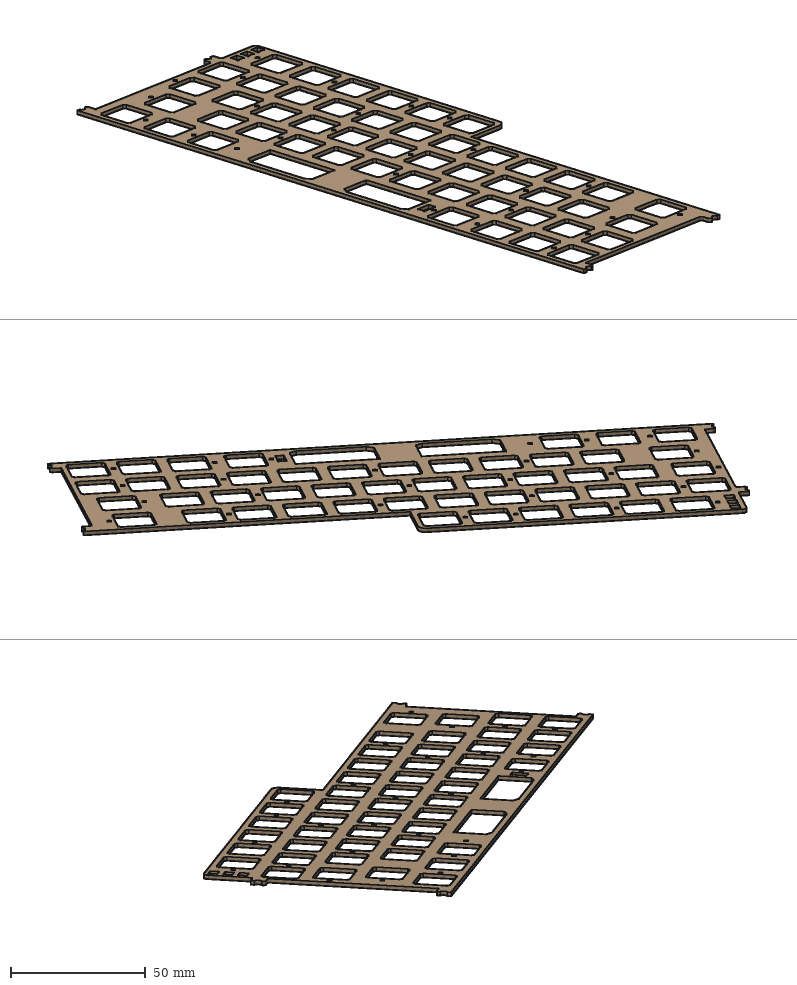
import cadquery as cq
overall_width = 251.21
thickness = 1.5875
unit = 19.05
rows = 5
body_units = 12.75
top_row_units = 6.5
body_width = body_units * unit
body_height = rows * unit
left = -body_width / 2
right = body_width / 2
top = body_height / 2
bottom = -body_height / 2
shoulder_y = top - unit
shoulder_x = left + top_row_units * unit
top_left_radius = 2.0
top_right_radius = 3.0
inner_corner_radius = 1.0

tab_length = (overall_width - body_width) / 2
tab_height = 5.6
tab_corner_radius = 1.0
tab_notch_radius = 1.4
tab_notch_depth = 1.1

switch_width = 14.6
switch_height = 14.0
switch_corner_chamfer = 1.0
switch_columns = [
    [1.0 + i for i in range(6)],
    [0.5 + i for i in range(11)] + [11.875],
    [0.625] + [1.75 + i for i in range(10)] + [12.0],
    [0.875] + [2.25 + i for i in range(11)],
    [0.625, 1.75, 2.875, 9.125, 10.25, 11.25, 12.25],
]

space_columns = [4.875, 7.375]
space_width = 31.9
space_chamfer_width = 2.7
space_chamfer_height = 1.6

hole_diameter = 1.6
hole_columns = [
    [0.5, 2.5, 4.5, 5.5],
    [1.0, 4.0, 7.0, 10.0, 12.375],
    [0.125, 2.25, 4.25, 6.25, 9.25, 11.5],
    [0.375, 3.75, 6.75, 9.75, 11.75],
    [1.125, 2.375, 3.5, 8.625, 9.75, 11.75],
]

window_width = 3.5
window_height = 3.4
window_pitch = 5.65
window_x = left + 4.0
window_lift = 0.6

slot_width = 3.2
slot_height = 6.1
slot_x = 39.2


def column_x(column):
    return left + column * unit


def row_y(row):
    return top - (row + 0.5) * unit


def plate_blank():
    """Flat plate with its short top row; only the top row's outer corners are rounded."""
    blank = cq.Workplane("XY").rect(body_width, body_height - unit).extrude(thickness)
    blank = blank.translate((0, -unit / 2, 0))
    top_row = (
        cq.Workplane("XY")
        .center((left + shoulder_x) / 2, top - unit)
        .rect(shoulder_x - left, 2 * unit)
        .extrude(thickness)
        .edges("|Z and >Y and <X")
        .fillet(top_left_radius)
        .edges("|Z and >Y and >X")
        .fillet(top_right_radius)
    )
    return blank.union(top_row)


def tab(side, y_low, rounded_edge):
    """Side tab notched in its end, with one outer corner rounded; side is -1 (left) or 1 (right)."""
    y_middle = y_low + tab_height / 2
    end_x = overall_width / 2
    body = (
        cq.Workplane("XY")
        .center(side * (end_x - tab_length), y_middle)
        .rect(2 * tab_length, tab_height)
        .extrude(thickness)
    )
    outer_end = ">X" if side > 0 else "<X"
    body = body.edges("|Z").edges(outer_end).edges(rounded_edge).fillet(tab_corner_radius)
    notch = (
        cq.Workplane("XY")
        .center(side * (end_x + tab_notch_radius - tab_notch_depth), y_middle)
        .circle(tab_notch_radius)
        .extrude(thickness)
    )
    return body.cut(notch)


def round_tab_roots(plate):
    """Fillet the inside corners where the upper tabs meet the plate's straight sides."""
    roots = [
        (left, shoulder_y),
        (left, shoulder_y - tab_height),
        (right, shoulder_y - tab_height),
    ]
    for x, y in roots:
        corner = cq.selectors.NearestToPointSelector((x, y, thickness / 2))
        plate = plate.edges("|Z").edges(corner).fillet(inner_corner_radius)
    return plate


def cut_rectangles(plate, points, width, height, chamfer=0):
    cutters = cq.Workplane("XY").pushPoints(points).rect(width, height).extrude(thickness)
    if chamfer:
        cutters = cutters.edges("|Z").chamfer(chamfer)
    return plate.cut(cutters)


def space_bar_opening():
    """Wide opening with sharp upper corners and bevelled lower ones, centred on the origin."""
    half_width = space_width / 2
    half_height = switch_height / 2
    bevel_x = half_width - space_chamfer_width
    bevel_y = space_chamfer_height - half_height
    outline = [
        (-half_width, half_height),
        (half_width, half_height),
        (half_width, bevel_y),
        (bevel_x, -half_height),
        (-bevel_x, -half_height),
        (-half_width, bevel_y),
    ]
    return cq.Workplane("XY").polyline(outline).close().extrude(thickness)


def grid_points(columns_by_row):
    return [
        (column_x(column), row_y(row))
        for row, columns in enumerate(columns_by_row)
        for column in columns
    ]


plate = plate_blank()
for side in (-1, 1):
    plate = plate.union(tab(side, shoulder_y - tab_height, "<Y"))
    plate = plate.union(tab(side, bottom, ">Y"))
plate = round_tab_roots(plate)

plate = cut_rectangles(
    plate, grid_points(switch_columns), switch_width, switch_height, switch_corner_chamfer
)
space_points = [(column_x(column), row_y(rows - 1)) for column in space_columns]
for x, y in space_points:
    plate = plate.cut(space_bar_opening().translate((x, y, 0)))
window_points = [(window_x, row_y(0) + window_lift + i * window_pitch) for i in (-1, 0, 1)]
plate = cut_rectangles(plate, window_points, window_width, window_height)
plate = cut_rectangles(plate, [(slot_x, row_y(rows - 1))], slot_width, slot_height)

holes = (
    cq.Workplane("XY")
    .pushPoints(grid_points(hole_columns))
    .circle(hole_diameter / 2)
    .extrude(thickness)
)
result = plate.cut(holes)